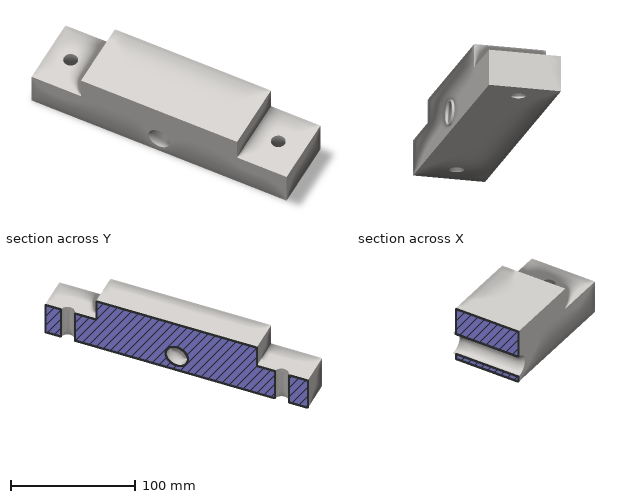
import cadquery as cq

length = 230.0
width = 60.0
height = 49.7
base_height = 30.0
end_step_length = 44.6
raised_length = length - 2 * end_step_length

mount_hole_diameter = 12.0
left_hole_end_distance = 20.0
right_hole_end_distance = 22.8

bore_diameter = 19.0
collar_diameter = 21.0
collar_length = 2.0
bore_height = base_height / 2


def make_block():
    base = cq.Workplane("XY").box(length, width, base_height, centered=(True, True, False))
    raised = cq.Workplane("XY").box(raised_length, width, height, centered=(True, True, False))
    return base.union(raised)


def cylinder_along_y(diameter, start_y, end_y):
    start = cq.Vector(0, start_y, bore_height)
    direction = cq.Vector(0, 1, 0)
    return cq.Workplane(cq.Solid.makeCylinder(diameter / 2, end_y - start_y, start, direction))


def cut_mounting_holes(body):
    left_hole_x = -length / 2 + left_hole_end_distance
    right_hole_x = length / 2 - right_hole_end_distance
    holes = (
        cq.Workplane("XY")
        .pushPoints([(left_hole_x, 0), (right_hole_x, 0)])
        .circle(mount_hole_diameter / 2)
        .extrude(base_height)
    )
    return body.cut(holes)


front_y = -width / 2
back_y = width / 2
collar_end_y = back_y + collar_length

collar = cylinder_along_y(collar_diameter, 0, collar_end_y)
bore = cylinder_along_y(bore_diameter, front_y, collar_end_y)

result = cut_mounting_holes(make_block().union(collar)).cut(bore)